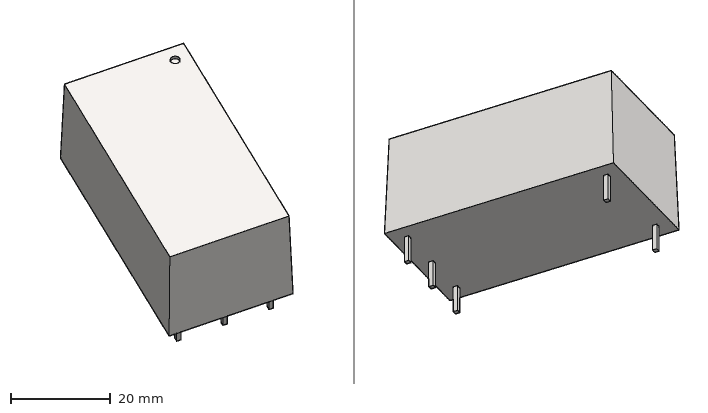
import cadquery as cq

base_length = 52.5
base_width = 27.4
case_height = 23.0
end_inset = 0.8
side_inset = 0.5

pin_size = 1.0
pin_length = 6.0
pin_x = 22.85
pin_pitch = 10.2
pin_embed = 0.5

marker_diameter = 2.0
marker_depth = 0.8
marker_x = -22.1
marker_y = 9.75


def make_case():
    top_length = base_length - 2 * end_inset
    top_width = base_width - 2 * side_inset
    return (
        cq.Workplane("XY")
        .rect(base_length, base_width)
        .workplane(offset=case_height)
        .rect(top_length, top_width)
        .loft(ruled=True)
    )


def make_pins():
    positions = [(-pin_x, side * pin_pitch) for side in (-1, 1)]
    positions += [(pin_x, row * pin_pitch) for row in (-1, 0, 1)]
    return (
        cq.Workplane("XY")
        .workplane(offset=-pin_length)
        .pushPoints(positions)
        .rect(pin_size, pin_size)
        .extrude(pin_length + pin_embed)
    )


def make_marker():
    return (
        cq.Workplane("XY")
        .workplane(offset=case_height - marker_depth)
        .center(marker_x, marker_y)
        .circle(marker_diameter / 2)
        .extrude(marker_depth)
    )


result = make_case().union(make_pins()).cut(make_marker())